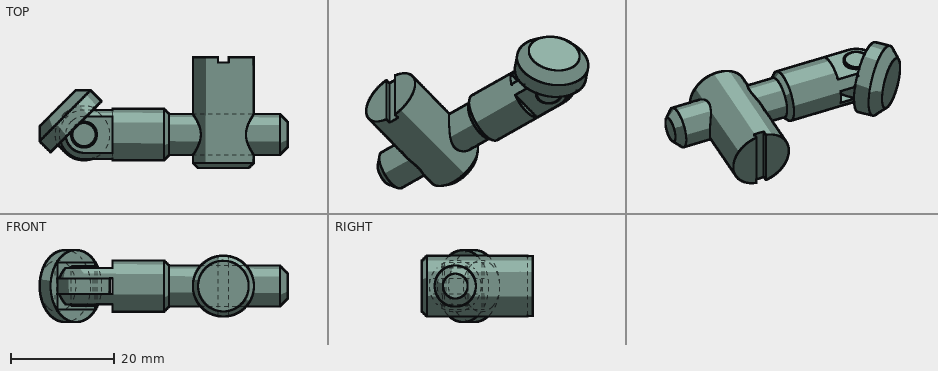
import cadquery as cq
import math


rod_radius = 4.0
rod_end_x = 39.5
rod_end_chamfer = 1.6
collar_radius = 5.0
collar_start_x = 5.5
collar_end_x = 16.5
collar_chamfer = collar_radius - rod_radius
fork_thickness = 7.08
slot_width = 3.0

pin_radius = 2.5
pin_length = 7.8
pin_chamfer = 0.25

foot_angle = 135
disc_diameter = 14.0
disc_radius = disc_diameter / 2
disc_rim = 3.05
disc_chamfer = 2.0
disc_thickness = disc_rim + disc_chamfer
foot_left_x = -8.6
disc_offset = -foot_left_x * math.sqrt(2) - disc_radius - disc_rim
tongue_radius = collar_radius
tongue_embed = 0.5
recess_radius = 5.6
recess_width = 9.05

barrel_radius = 5.9
barrel_x = 27.0
barrel_front_y = -6.5
barrel_length = 21.5
barrel_chamfer = 1.0
driver_slot_width = 2.0
driver_slot_depth = 1.0


def x_cylinder(radius, start_x, end_x):
    return cq.Workplane("YZ", origin=(start_x, 0, 0)).circle(radius).extrude(end_x - start_x)


def z_cylinder(radius, length):
    return cq.Workplane("XY").circle(radius).extrude(length / 2, both=True)


def make_rod():
    shank = x_cylinder(rod_radius, collar_start_x, rod_end_x).faces(">X").chamfer(rod_end_chamfer)
    collar = x_cylinder(collar_radius, collar_start_x, collar_end_x).faces(">X").chamfer(collar_chamfer)

    fork = x_cylinder(collar_radius, 0, collar_start_x).union(cq.Workplane("XY").sphere(collar_radius))
    flats = cq.Workplane("XY").box(4 * collar_radius, 2 * collar_radius, fork_thickness)
    fork = fork.intersect(flats)
    body = fork.union(collar).union(shank)

    slot_length = collar_radius + collar_start_x
    slot = cq.Workplane("XY", origin=(-collar_radius, 0, 0)).box(
        slot_length, 2 * collar_radius, slot_width, centered=(False, True, True)
    )
    return body.cut(slot).cut(z_cylinder(pin_radius, fork_thickness))


def make_pin():
    return z_cylinder(pin_radius, pin_length).faces("<Z or >Z").chamfer(pin_chamfer)


def make_foot():
    disc = x_cylinder(disc_radius, disc_offset, disc_offset + disc_thickness)
    disc = disc.faces(">X").chamfer(disc_chamfer)
    disc = disc.cut(z_cylinder(recess_radius, recess_width))

    tongue_reach = recess_radius + tongue_embed
    neck = cq.Workplane("XY").box(
        tongue_reach, 2 * tongue_radius, slot_width, centered=(False, True, True)
    )
    tongue = z_cylinder(tongue_radius, slot_width).union(neck)
    foot = disc.union(tongue).cut(z_cylinder(pin_radius, slot_width))
    return foot.rotate((0, 0, 0), (0, 0, 1), foot_angle)


def make_barrel():
    barrel_back_y = barrel_front_y + barrel_length
    barrel = cq.Workplane("XZ", origin=(barrel_x, barrel_back_y, 0)).circle(barrel_radius).extrude(barrel_length)
    barrel = barrel.faces("<Y").chamfer(barrel_chamfer)

    rod_hole = x_cylinder(rod_radius, barrel_x - barrel_radius, barrel_x + barrel_radius)
    driver_slot = cq.Workplane("XY", origin=(barrel_x, barrel_back_y - driver_slot_depth / 2, 0)).box(
        driver_slot_width, driver_slot_depth, 2 * barrel_radius
    )
    return barrel.cut(rod_hole).cut(driver_slot)


rod = make_rod()
pin = make_pin()
foot = make_foot()
barrel = make_barrel()

result = cq.Compound.makeCompound([rod.val(), pin.val(), foot.val(), barrel.val()])